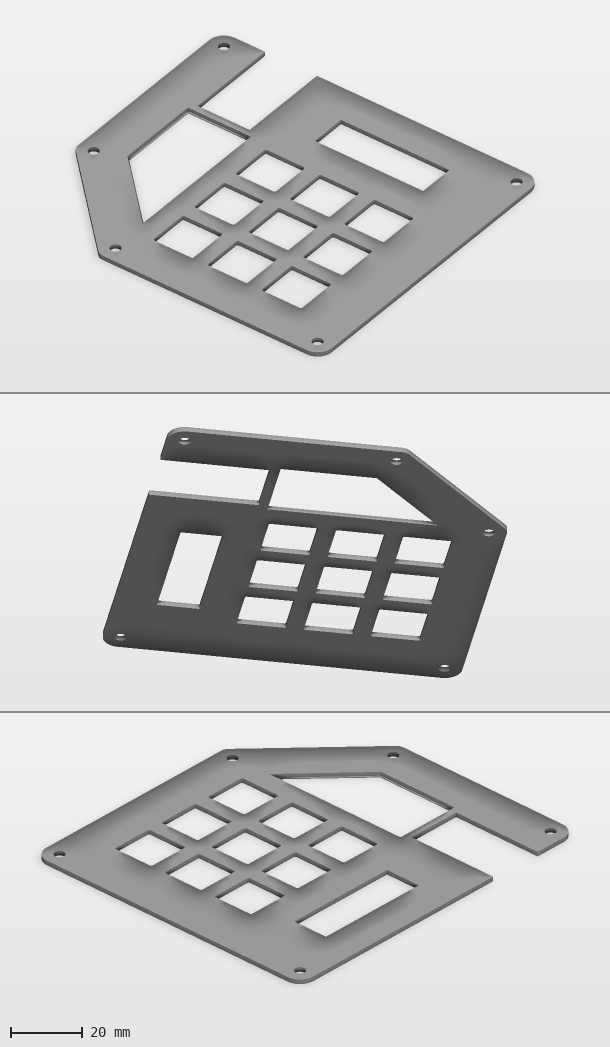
import cadquery as cq

length = 112.68
width = 101.96
thickness = 1.5
half_length = length / 2
half_width = width / 2

corner_radius = 5.0
bevel_leg = 34.8
bevel_corner_radius = 3.0

hole_diameter = 3.4
hole_inset = 5.0
bevel_hole_run = 31.8

slot_left = 15.65
slot_width = 18.25
slot_depth = 31.15

window_left = 13.95
window_width = 22.1
window_back = 33.4
window_short_side = 28.0
lip_width = 0.5
lip_thickness = 0.3

display_length = 38.0
display_width = 12.1
display_right = 23.2
display_back = 12.05

key_size = 14.0
key_pitch = 19.05
key_count = 3
key_corner_radius = 0.5
key_right = 17.75
key_back = 35.6


def make_plate():
    bevel_right = (-half_length + bevel_leg, -half_width)
    bevel_left = (-half_length, -half_width + bevel_leg)
    outline = [
        (-half_length, half_width),
        (half_length, half_width),
        (half_length, -half_width),
        bevel_right,
        bevel_left,
    ]
    plate = cq.Workplane("XY").polyline(outline).close().extrude(thickness)
    plate = plate.edges("|Z and (>X or >Y)").fillet(corner_radius)
    for corner in (bevel_right, bevel_left):
        plate = plate.edges(cq.NearestToPointSelector((*corner, thickness / 2))).fillet(bevel_corner_radius)
    return plate


def make_box_cutter(left, back, size_x, size_y):
    """Full-thickness box given by its left and back sides."""
    center = (left + size_x / 2, back - size_y / 2)
    return cq.Workplane("XY").center(*center).rect(size_x, size_y).extrude(thickness)


def make_slot():
    return make_box_cutter(-half_length + slot_left, half_width, slot_width, slot_depth)


def make_display():
    left = half_length - display_right - display_length
    return make_box_cutter(left, half_width - display_back, display_length, display_width)


def make_keys():
    last_x = half_length - key_right - key_size / 2
    first_y = half_width - key_back - key_size / 2
    centers = [
        (last_x - column * key_pitch, first_y - row * key_pitch)
        for column in range(key_count)
        for row in range(key_count)
    ]
    keys = cq.Workplane("XY").pushPoints(centers).rect(key_size, key_size).extrude(thickness)
    return keys.edges("|Z").fillet(key_corner_radius)


def make_window():
    left = -half_length + window_left
    right = left + window_width
    back = half_width - window_back
    front_left = back - window_short_side
    front_right = front_left - window_width
    outline = [(left, back), (right, back), (right, front_right), (left, front_left)]
    recess = (
        cq.Workplane("XY")
        .workplane(offset=lip_thickness)
        .polyline(outline)
        .close()
        .extrude(thickness - lip_thickness)
    )
    opening = cq.Workplane("XY").polyline(outline).close().offset2D(-lip_width).extrude(thickness)
    return recess.union(opening)


def make_holes():
    left = -half_length + hole_inset
    right = half_length - hole_inset
    back = half_width - hole_inset
    front = -half_width + hole_inset
    centers = [
        (left, back),
        (right, back),
        (right, front),
        (left + bevel_hole_run, front),
        (left, front + bevel_hole_run),
    ]
    return cq.Workplane("XY").pushPoints(centers).circle(hole_diameter / 2).extrude(thickness)


result = make_plate()
for cutter in (make_slot(), make_display(), make_keys(), make_window(), make_holes()):
    result = result.cut(cutter)